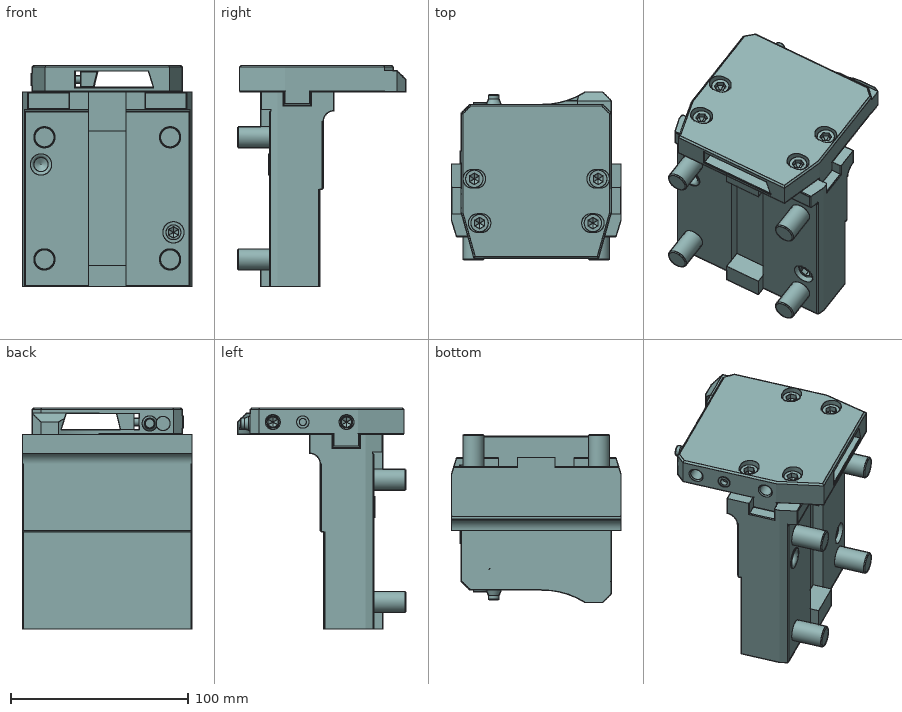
import cadquery as cq
import math

BODY_HALF_WIDTH = 48.0
BODY_TOP = 110.0
BODY_BACK = 28.4
SMALL_BEVEL = 0.7
PAD_BEVEL = 0.69
TAPER_START_Y = 4.7
TAPER_END_Y = -5.0
TAPER_INSET = 3.0
BACK_PAD_Y = 30.4
BACK_PAD_BOTTOM = 55.0
FLANGE_BACK_Y = 36.4
FLANGE_BOTTOM = 99.3
EAR_BOTTOM = 100.0
EAR_FRONT_Y = -5.0
EAR_BEVEL = 0.5
EAR_INNER_X = 21.2
GROOVE_HALF_WIDTH = 10.5
GROOVE_DEPTH = 6.0
KEY_FRONT_Y = -5.0
UPPER_KEY_BOTTOM = 87.8
LOWER_KEY_TOP = 12.0

PIN_DIAMETER = 12.0
PIN_TIP_Y = -18.0
PIN_X = 35.5
PIN_HEIGHTS = (15.4, 84.4)
PIN_BEVEL = 0.6
SCREW_X = 37.4
SCREW_DIAMETER = 12.0
BUSHING_Z = 69.0
BUSHING_BORE = 8.0
BUSHING_LIP = 0.6
BUSHING_MOUTH_RADIUS = 1.9
BUSHING_DEPTH = 10.0
FRONT_SCREW_Z = 30.7
FRONT_SCREW_HEAD = 8.4
FRONT_SCREW_RECESS = 4.0
FRONT_SCREW_HEAD_DEPTH = 2.0

PLATE_TOP = 125.0
PLATE_HALF_WIDTH = 42.5
PLATE_FRONT = -17.0
PLATE_BACK = 70.0
PLATE_CORNER = 5.0
PLATE_TAPER_Y = 9.0
PLATE_FRONT_HALF_WIDTH = 35.2
PLATE_TOP_BEVEL = 1.0
PLATE_BOTTOM_BEVEL = 0.4
TAB_CENTRE_Y = 15.6
TAB_WIDTH = 13.8
TAB_DEPTH = 6.6
SEAT_WIDTH = TAB_WIDTH + 1.2
SEAT_DEPTH = TAB_DEPTH + 0.9
SEAT_LENGTH = 7.0
SEAT_BEVEL = 0.5

WINDOW_BOTTOM = 112.7
WINDOW_TOP = 121.8
WINDOW_LEFT = -18.0
WINDOW_REBATE = 0.5
WINDOW_RIGHT_TOP = 23.2
WINDOW_RIGHT_BOTTOM = 26.0
WEDGE_LEFT = -15.2
WEDGE_RIGHT_TOP = -5.2
WEDGE_RIGHT_BOTTOM = -7.4
WEDGE_LENGTH = 30.0
WEDGE_BEVEL = 0.5
CLAMP_Y = 40.2
CLAMP_Z = 117.0
CLAMP_ROD_DIAMETER = 4.4
CLAMP_HEAD_DIAMETER = 7.0
CLAMP_SOCKET_DIAMETER = 4.0
CLAMP_HEAD_LENGTH = 3.0
CLAMP_HEAD_PROUD = 0.5

PLATE_SCREWS = ((35.0, 27.9), (32.0, 2.9))
SLOT_LENGTH = 12.7
SLOT_WIDTH = 10.6
SLOT_DEPTH = 7.0
CAP_HEAD_DIAMETER = 9.8
CAP_HEAD_BELOW_TOP = 2.0
HEX_ACROSS_FLATS = 5.6
HEX_DEPTH = 3.0
HEX_TIP = 1.6
HEX_TURN = 90
TIP_DIAMETER = 0.1
DRILL_TIP_RATIO = 0.3
SIDE_HOLE_DIAMETER = 7.0
SIDE_HOLE_BEVEL = 0.7
SIDE_HOLE_DEPTH = 12.0
SIDE_HOLE_YS = (15.5, 57.1)

BUTTON_X = -24.0
BUTTON_Z = 116.2
BUTTON_BASE_DIAMETER = 8.6
BUTTON_DIAMETER = 6.0
BUTTON_CONE_Y = 73.0
BUTTON_TIP_Y = 75.5
BUTTON_BEVEL = 0.5
DISC_X = -31.5
DISC_DIAMETER = 8.0
DISC_THICKNESS = 0.9
LUG_BACK = 77.0
LUG_TOP = 122.0
LUG_BEVEL = 5.0
LUG_RAMP_START_X = 2.6
LUG_FLAT_START_X = 27.6
LUG_RAMP_MID = (16.5, 71.9)

BOTH_SIDES = (-1, 1)


def box(x0, x1, y0, y1, z0, z1):
    return cq.Workplane("XY").box(x1 - x0, y1 - y0, z1 - z0, centered=False).translate((x0, y0, z0))


def prism_z(points, z0, z1):
    return cq.Workplane("XY").workplane(offset=z0).polyline(points).close().extrude(z1 - z0)


def prism_y(points, y0, y1):
    return cq.Workplane("XZ", origin=(0, y0, 0)).polyline(points).close().extrude(y0 - y1)


def cylinder(start, direction, diameter, length):
    axis = cq.Vector(*direction)
    return cq.Workplane(cq.Solid.makeCylinder(diameter / 2, length, cq.Vector(*start), axis))


def cone(start, direction, diameter, end_diameter, length):
    axis = cq.Vector(*direction)
    return cq.Workplane(cq.Solid.makeCone(diameter / 2, end_diameter / 2, length, cq.Vector(*start), axis))


def hexagon_socket(plane):
    """Hexagon socket sunk below the plane, ending in a shallow pointed floor."""
    diameter = HEX_ACROSS_FLATS / math.cos(math.pi / 6)
    top = cq.Workplane(plane).transformed(rotate=(0, 0, HEX_TURN))
    prism = top.polygon(6, diameter).extrude(-HEX_DEPTH)
    floor = top.workplane(offset=-HEX_DEPTH)
    tip = floor.polygon(6, diameter).workplane(offset=-HEX_TIP).polygon(6, TIP_DIAMETER).loft()
    return prism.union(tip)


def pointed_bore(start, direction, diameter, depth):
    """Blind drilled hole with a conical end."""
    axis = cq.Vector(*direction)
    end = (cq.Vector(*start) + axis * depth).toTuple()
    tip = cone(end, direction, diameter, TIP_DIAMETER, diameter * DRILL_TIP_RATIO)
    return cylinder(start, direction, diameter, depth).union(tip)


def half_width_at(y):
    """Half width of the body on its tapered front sides."""
    return BODY_HALF_WIDTH - TAPER_INSET * (TAPER_START_Y - y) / (TAPER_START_Y - TAPER_END_Y)


def body_section(front_y, back_y, back_bevel):
    """Plan outline of the body, mirrored about X = 0."""
    right = [
        (half_width_at(front_y), front_y),
        (BODY_HALF_WIDTH, TAPER_START_Y),
        (BODY_HALF_WIDTH, back_y - back_bevel),
        (BODY_HALF_WIDTH - back_bevel, back_y),
    ]
    return right + [(-x, y) for x, y in reversed(right)]


def make_body():
    recess_y = SMALL_BEVEL
    body = prism_z(body_section(recess_y, BODY_BACK, SMALL_BEVEL), 0, BODY_TOP)
    back_pad = prism_z(body_section(recess_y, BACK_PAD_Y, SMALL_BEVEL), BACK_PAD_BOTTOM, BODY_TOP)
    body = body.union(back_pad.faces("<Z").edges(">Y").chamfer(SMALL_BEVEL))
    radius = FLANGE_BACK_Y - BACK_PAD_Y
    diagonal = radius * math.cos(math.pi / 4)
    shoulder = (
        cq.Workplane("YZ", origin=(-BODY_HALF_WIDTH, 0, 0))
        .moveTo(TAPER_START_Y, BODY_TOP)
        .lineTo(FLANGE_BACK_Y, BODY_TOP)
        .lineTo(FLANGE_BACK_Y, FLANGE_BOTTOM)
        .threePointArc(
            (FLANGE_BACK_Y - diagonal, FLANGE_BOTTOM - radius + diagonal),
            (BACK_PAD_Y, FLANGE_BOTTOM - radius),
        )
        .lineTo(TAPER_START_Y, FLANGE_BOTTOM - radius)
        .close()
        .extrude(2 * BODY_HALF_WIDTH)
    )
    body = body.union(shoulder)
    ears = prism_z(body_section(EAR_FRONT_Y, BODY_BACK, SMALL_BEVEL), EAR_BOTTOM, BODY_TOP)
    gap = box(-EAR_INNER_X, EAR_INNER_X, EAR_FRONT_Y, 0, EAR_BOTTOM, BODY_TOP)
    body = body.union(ears.cut(gap).faces("<Y").chamfer(EAR_BEVEL))
    pad_edge = half_width_at(recess_y)
    pad = box(-pad_edge, pad_edge, 0, recess_y, 0, EAR_BOTTOM - SMALL_BEVEL)
    body = body.union(pad.faces("<Y").chamfer(PAD_BEVEL))
    groove = box(-GROOVE_HALF_WIDTH, GROOVE_HALF_WIDTH, 0, GROOVE_DEPTH, 0, BODY_TOP)
    body = body.cut(groove)
    for bottom, top in ((0, LOWER_KEY_TOP), (UPPER_KEY_BOTTOM, BODY_TOP)):
        key = box(-GROOVE_HALF_WIDTH, GROOVE_HALF_WIDTH, KEY_FRONT_Y, GROOVE_DEPTH, bottom, top)
        body = body.union(key)
    return body


def cut_tab_seats(body):
    """Open ends of the cross keyway, with a flared mouth on each side face."""
    for side in BOTH_SIDES:
        plane = cq.Plane((side * BODY_HALF_WIDTH, TAB_CENTRE_Y, BODY_TOP), (0, 1, 0), (-side, 0, 0))
        seat = cq.Workplane(plane).rect(SEAT_WIDTH, 2 * SEAT_DEPTH).extrude(SEAT_LENGTH)
        mouth = (
            cq.Workplane(plane)
            .rect(SEAT_WIDTH + 2 * SEAT_BEVEL, 2 * (SEAT_DEPTH + SEAT_BEVEL))
            .workplane(offset=SEAT_BEVEL)
            .rect(SEAT_WIDTH, 2 * SEAT_DEPTH)
            .loft()
        )
        body = body.cut(seat).cut(mouth)
    return body


def make_plate():
    right = [
        (PLATE_FRONT_HALF_WIDTH, PLATE_FRONT),
        (PLATE_HALF_WIDTH, PLATE_TAPER_Y),
        (PLATE_HALF_WIDTH, PLATE_BACK - PLATE_CORNER),
        (PLATE_HALF_WIDTH - PLATE_CORNER, PLATE_BACK),
    ]
    plate = prism_z(right + [(-x, y) for x, y in reversed(right)], BODY_TOP, PLATE_TOP)
    plate = plate.faces(">Z").chamfer(PLATE_TOP_BEVEL)
    plate = plate.faces("<Z").chamfer(PLATE_BOTTOM_BEVEL)
    tab = box(
        -PLATE_HALF_WIDTH,
        PLATE_HALF_WIDTH,
        TAB_CENTRE_Y - TAB_WIDTH / 2,
        TAB_CENTRE_Y + TAB_WIDTH / 2,
        BODY_TOP - TAB_DEPTH,
        BODY_TOP + PLATE_BOTTOM_BEVEL,
    )
    return plate.union(tab)


def make_lug():
    """Finger lug at the rear right corner, with a concave ramp and a sloping back edge."""
    inner_y = PLATE_BACK - PLATE_CORNER
    lug = (
        cq.Workplane("XY")
        .workplane(offset=BODY_TOP)
        .moveTo(LUG_RAMP_START_X, inner_y)
        .lineTo(LUG_RAMP_START_X, PLATE_BACK)
        .threePointArc(LUG_RAMP_MID, (LUG_FLAT_START_X, LUG_BACK))
        .lineTo(PLATE_HALF_WIDTH - LUG_BEVEL, LUG_BACK)
        .lineTo(PLATE_HALF_WIDTH, LUG_BACK - LUG_BEVEL)
        .lineTo(PLATE_HALF_WIDTH, inner_y)
        .close()
        .extrude(LUG_TOP - BODY_TOP)
    )
    slope = (
        cq.Workplane("YZ")
        .polyline([(LUG_BACK, LUG_TOP - LUG_BEVEL), (LUG_BACK, LUG_TOP), (LUG_BACK - LUG_BEVEL, LUG_TOP)])
        .close()
        .extrude(PLATE_HALF_WIDTH)
    )
    return lug.cut(slope)


def trapezoid(left, right_bottom, right_top, bottom):
    """Outline reaching up to the window top, square on the left and sloping on the right."""
    return [(left, bottom), (right_bottom, bottom), (right_top, WINDOW_TOP), (left, WINDOW_TOP)]


def cut_window(part):
    outline = trapezoid(WINDOW_LEFT, WINDOW_RIGHT_BOTTOM, WINDOW_RIGHT_TOP, WINDOW_BOTTOM)
    mouth = trapezoid(
        WINDOW_LEFT - WINDOW_REBATE,
        WINDOW_RIGHT_BOTTOM,
        WINDOW_RIGHT_TOP,
        WINDOW_BOTTOM - WINDOW_REBATE,
    )
    part = part.cut(prism_y(outline, PLATE_FRONT, LUG_BACK))
    return part.cut(prism_y(mouth, PLATE_FRONT, PLATE_FRONT + WINDOW_REBATE))


def add_clamp(part):
    """Wedge in the window and the set screw that pushes it from the left side."""
    outline = trapezoid(WEDGE_LEFT, WEDGE_RIGHT_BOTTOM, WEDGE_RIGHT_TOP, WINDOW_BOTTOM)
    wedge = prism_y(outline, CLAMP_Y - WEDGE_LENGTH / 2, CLAMP_Y + WEDGE_LENGTH / 2)
    part = part.union(wedge.faces("<Y").chamfer(WEDGE_BEVEL))
    along_x = (1, 0, 0)
    rod_start = (WINDOW_LEFT, CLAMP_Y, CLAMP_Z)
    part = part.union(cylinder(rod_start, along_x, CLAMP_ROD_DIAMETER, WEDGE_LEFT - WINDOW_LEFT))
    head_start = (-PLATE_HALF_WIDTH - CLAMP_HEAD_PROUD, CLAMP_Y, CLAMP_Z)
    part = part.union(cylinder(head_start, along_x, CLAMP_HEAD_DIAMETER, CLAMP_HEAD_LENGTH))
    return part.cut(cylinder(head_start, along_x, CLAMP_SOCKET_DIAMETER, CLAMP_HEAD_LENGTH))


def add_plate_screws(part):
    """Elongated counterbores holding socket head cap screws."""
    floor_z = PLATE_TOP - SLOT_DEPTH
    head_top = PLATE_TOP - CAP_HEAD_BELOW_TOP
    for x, y in PLATE_SCREWS:
        for side in BOTH_SIDES:
            centre_x = side * x
            slot = cq.Workplane("XY", origin=(centre_x, y, floor_z)).slot2D(SLOT_LENGTH, SLOT_WIDTH)
            part = part.cut(slot.extrude(SLOT_DEPTH))
            head = cylinder((centre_x, y, floor_z), (0, 0, 1), CAP_HEAD_DIAMETER, head_top - floor_z)
            socket_plane = cq.Plane((centre_x, y, head_top), (1, 0, 0), (0, 0, 1))
            part = part.union(head.cut(hexagon_socket(socket_plane)))
    return part


def cut_side_holes(part):
    """Bevelled holes in the left side, each ending on a sunk set screw with a hexagon socket."""
    for y in SIDE_HOLE_YS:
        start = (-PLATE_HALF_WIDTH, y, CLAMP_Z)
        mouth_diameter = SIDE_HOLE_DIAMETER + 2 * SIDE_HOLE_BEVEL
        part = part.cut(cylinder(start, (1, 0, 0), SIDE_HOLE_DIAMETER, SIDE_HOLE_DEPTH))
        part = part.cut(cone(start, (1, 0, 0), mouth_diameter, SIDE_HOLE_DIAMETER, SIDE_HOLE_BEVEL))
        socket_plane = cq.Plane((SIDE_HOLE_DEPTH - PLATE_HALF_WIDTH, y, CLAMP_Z), (0, -1, 0), (-1, 0, 0))
        part = part.cut(hexagon_socket(socket_plane))
    return part


def add_button(part):
    along_y = (0, 1, 0)
    base = (BUTTON_X, PLATE_BACK, BUTTON_Z)
    part = part.union(
        cone(base, along_y, BUTTON_BASE_DIAMETER, BUTTON_DIAMETER, BUTTON_CONE_Y - PLATE_BACK)
    )
    stem = cylinder(base, along_y, BUTTON_DIAMETER, BUTTON_TIP_Y - PLATE_BACK)
    part = part.union(stem.faces(">Y").chamfer(BUTTON_BEVEL))
    return part.union(cylinder((DISC_X, PLATE_BACK, BUTTON_Z), along_y, DISC_DIAMETER, DISC_THICKNESS))


def add_pins(part):
    for side in BOTH_SIDES:
        for z in PIN_HEIGHTS:
            start = (side * PIN_X, SMALL_BEVEL, z)
            pin = cylinder(start, (0, -1, 0), PIN_DIAMETER, SMALL_BEVEL - PIN_TIP_Y)
            part = part.union(pin.faces("<Y").chamfer(PIN_BEVEL))
    return part


def add_bushing(part):
    """Bushing lip with a rounded mouth into a blind bore, upper left of the front face."""
    front = (-SCREW_X, -BUSHING_LIP, BUSHING_Z)
    inward = (0, 1, 0)
    sleeve = cylinder(front, inward, SCREW_DIAMETER, BUSHING_DEPTH)
    bore = pointed_bore(front, inward, BUSHING_BORE, BUSHING_DEPTH)
    inner_rim = cq.selectors.RadiusNthSelector(0)
    bushing = sleeve.cut(bore).faces("<Y").edges(inner_rim).fillet(BUSHING_MOUTH_RADIUS)
    return part.cut(sleeve).union(bushing).cut(bore)


def add_front_screw(part):
    """Socket head screw sunk in a counterbore, lower right of the front face."""
    part = part.cut(cylinder((SCREW_X, 0, FRONT_SCREW_Z), (0, 1, 0), SCREW_DIAMETER, FRONT_SCREW_RECESS))
    floor = (SCREW_X, FRONT_SCREW_RECESS, FRONT_SCREW_Z)
    head_height = FRONT_SCREW_RECESS - FRONT_SCREW_HEAD_DEPTH
    head = cylinder(floor, (0, -1, 0), FRONT_SCREW_HEAD, head_height)
    socket_plane = cq.Plane((SCREW_X, FRONT_SCREW_HEAD_DEPTH, FRONT_SCREW_Z), (1, 0, 0), (0, -1, 0))
    return part.union(head).cut(hexagon_socket(socket_plane))


part = cut_tab_seats(make_body())
part = part.union(make_plate()).union(make_lug())
part = cut_window(part)
part = add_clamp(part)
part = add_plate_screws(part)
part = cut_side_holes(part)
part = add_button(part)
part = add_pins(part)
part = add_bushing(part)
part = add_front_screw(part)
result = part